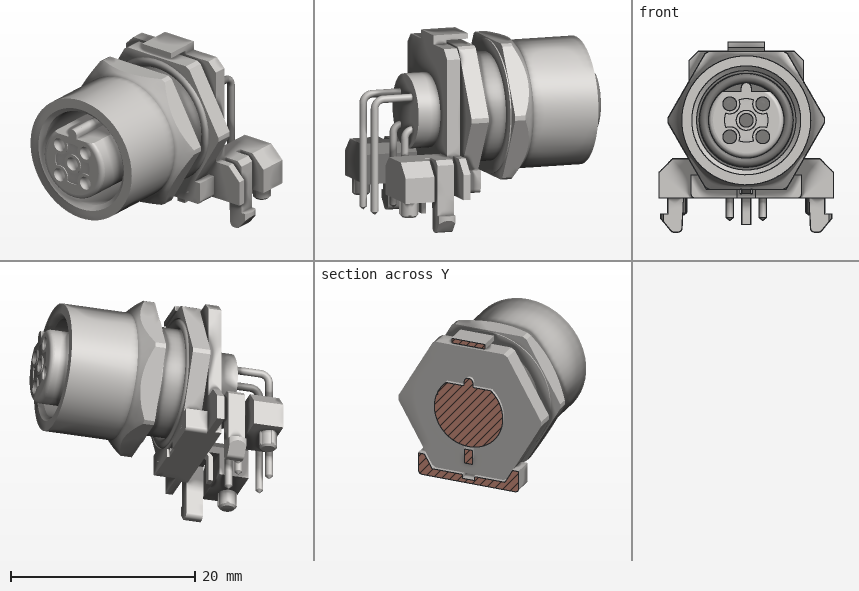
import cadquery as cq
import math


insert_radius = 4.1
insert_rear_y = 21.3
insert_edge_fillet = 0.52
key_flat_z = 3.12
key_half_width = 0.55
key_top_z = insert_radius
contact_offset = 1.8
contact_hole_radius = 0.75
contact_hole_depth = 3.9
face_recess_radius = 2.35
face_recess_depth = 0.1
contact_land_radius = 1.1

shell_front_y = 1.53
shell_rear_y = 9.03
shell_radius = 7.0
bore_radius = 5.4
bore_chamfer = 0.52
bore_floor_y = shell_rear_y
nut_flats = 15.0
nut_corner_radius = 8.51
front_nut_rear_y = 11.73
washer_face_radius = 7.37
washer_face_rear_y = 11.86
neck_radius = 5.97
rear_nut_front_y = 14.8
rear_nut_rear_y = 16.8

inner_ring_radius = 4.57
inner_ring_wire = 0.55
outer_ring_radius = 6.6
outer_ring_wire = 0.55
outer_ring_y = 15.13
ring_groove_radius = 7.2
ring_groove_depth = 0.65

plate_front_y = 17.26
plate_rear_y = 18.77
plate_half_width = 6.23
plate_top_z = 7.53
plate_chamfer = 1.05
tab_half_width = 2.0
tab_top_z = 8.51
tab_thickness = 0.6

base_bottom_z = -8.45
base_top_z = -4.15
bridge_bottom_z = -5.97
wing_outer_x = 9.5
wing_inner_x = 3.25
wing_outer_chamfer = 1.53
wing_inner_chamfer = 1.05
front_wing_rear_y = 18.07
rear_wing_front_y = 21.47
rear_wing_rear_y = 24.8
slot_end_x = 6.2
slot_corner_radius = 0.15

foot_half_width = 6.0
foot_top_z = -5.92
foot_bottom_fillet = 0.47
foot_recess_half_width = 0.99
foot_recess_depth = 0.25
window_half_width = 0.67
window_height = 0.47

latch_front_y = 18.85
latch_rear_y = 20.75
latch_outer_x = 8.51
latch_inner_x = 6.83
latch_top_chamfer = 0.52
latch_bottom_z = -12.18
latch_tip_outer_x = 8.05
latch_tip_inner_x = 6.98
latch_tip_fillet = 0.52
hook_outer_x = 9.3
hook_edge_x = 8.98
hook_top_z = -10.18
hook_bottom_z = -10.67

peg_x = 7.5
peg_y = 23.68
peg_radius = 0.95
peg_rib_radius = 1.06
peg_rib_width = 0.35
peg_rib_count = 4
peg_rib_turn = 13.5
peg_bottom_z = -10.28
peg_chamfer = 0.3

overall_length = 25.95
pin_radius = 0.42
long_pin_bend_radius = 1.0
short_pin_bend_radius = 0.88
pin_tip_z = -10.9
pin_tip_length = 0.36
long_pin_y = overall_length - pin_radius
short_pin_y = 22.05
strip_half_width = 0.5
strip_thickness = 0.52
strip_top_y = 16.61
strip_top_z = -3.37
strip_knee_y = 17.55
strip_knee_z = -6.5
strip_tail_y = 19.35
strip_tail_z = -8.45
strip_bottom_z = -11.35


def box(x0, x1, y0, y1, z0, z1):
    return cq.Workplane("XY").box(x1 - x0, y1 - y0, z1 - z0, centered=False).translate((x0, y0, z0))


def disc(radius, y0, y1, x=0.0, z=0.0):
    """Cylinder along Y between y0 and y1."""
    return cq.Workplane("XZ", origin=(x, y0, z)).circle(radius).extrude(y0 - y1)


def turned(points):
    """Solid of revolution about Y from (radius, y) points."""
    return cq.Workplane("XY").polyline(points).close().revolve(360, (0, 0, 0), (0, 1, 0))


def ring(radius, wire, y):
    """Round-section ring about Y; wire is the radius of the section."""
    return (
        cq.Workplane("XY").center(radius, y).circle(wire).revolve(360, (-radius, 0, 0), (-radius, 1, 0))
    )


def hexagon(y0, y1):
    """Hexagonal prism with flats at top and bottom."""
    across_corners = nut_flats / math.cos(math.pi / 6)
    return cq.Workplane("XZ", origin=(0, y0, 0)).polygon(6, across_corners).extrude(y0 - y1)


def front_profile(points, y0, y1):
    """Extrude an (x, z) outline from y0 to y1."""
    return cq.Workplane("XZ", origin=(0, y0, 0)).polyline(points).close().extrude(y0 - y1)


def mirrored(body):
    """Body joined with its mirror image across x = 0."""
    return body.union(body.mirror("YZ"))


def make_insert():
    """Keyed insert with contact holes and a shallow cross recess in its face."""
    body = disc(insert_radius, 0, plate_rear_y).faces("<Y").edges().fillet(insert_edge_fillet)
    body = body.cut(box(-insert_radius, insert_radius, 0, plate_rear_y, key_flat_z, insert_radius))
    round_z = key_top_z - key_half_width
    key = box(-key_half_width, key_half_width, 0, plate_rear_y, 0, round_z)
    key = key.union(disc(key_half_width, 0, plate_rear_y, z=round_z))
    rear = disc(insert_radius, plate_front_y, insert_rear_y)
    body = body.union(key).union(rear)

    offsets = (-contact_offset, contact_offset)
    contacts = [(0, 0)] + [(x, z) for x in offsets for z in offsets]
    recess = disc(face_recess_radius, 0, face_recess_depth)
    for x, z in contacts:
        recess = recess.cut(disc(contact_land_radius, 0, face_recess_depth, x, z))
    body = body.cut(recess)
    for x, z in contacts:
        body = body.cut(disc(contact_hole_radius, 0, contact_hole_depth, x, z))
    return body


def make_housing():
    """Shell, two hexagonal nuts, neck and both sealing rings."""
    cone_rear_y = shell_rear_y + nut_corner_radius - shell_radius
    nut_envelope = turned([
        (0, shell_rear_y),
        (shell_radius, shell_rear_y),
        (nut_corner_radius, cone_rear_y),
        (nut_corner_radius, front_nut_rear_y),
        (0, front_nut_rear_y),
    ])
    front_nut = hexagon(shell_rear_y, front_nut_rear_y).intersect(nut_envelope)
    rear_nut = hexagon(rear_nut_front_y, rear_nut_rear_y)
    rear_nut = rear_nut.intersect(disc(nut_corner_radius, rear_nut_front_y, rear_nut_rear_y))
    ring_groove = disc(ring_groove_radius, rear_nut_front_y, rear_nut_front_y + ring_groove_depth)
    rear_nut = rear_nut.cut(ring_groove)
    bore = turned([
        (0, shell_front_y),
        (bore_radius + bore_chamfer, shell_front_y),
        (bore_radius, shell_front_y + bore_chamfer),
        (bore_radius, bore_floor_y),
        (0, bore_floor_y),
    ])
    body = disc(shell_radius, shell_front_y, shell_rear_y).union(front_nut)
    body = body.union(disc(washer_face_radius, front_nut_rear_y, washer_face_rear_y))
    body = body.union(disc(neck_radius, front_nut_rear_y, rear_nut_rear_y))
    body = body.union(rear_nut).cut(bore)
    body = body.union(ring(inner_ring_radius, inner_ring_wire, bore_floor_y - inner_ring_wire / 2))
    return body.union(ring(outer_ring_radius, outer_ring_wire, outer_ring_y))


def make_plate():
    """Upright plate with a tab over the rear nut."""
    plate = box(
        -plate_half_width, plate_half_width, plate_front_y, plate_rear_y, base_bottom_z, plate_top_z
    )
    plate = plate.faces(">Z").edges("|Y").chamfer(plate_chamfer)
    stem = box(-tab_half_width, tab_half_width, plate_front_y, plate_rear_y, plate_top_z, tab_top_z)
    tab = box(
        -tab_half_width, tab_half_width, rear_nut_front_y, plate_rear_y, tab_top_z - tab_thickness, tab_top_z
    )
    return plate.union(stem).union(tab)


def make_foot():
    """Cradle shaped to the rear nut."""
    foot = box(
        -foot_half_width, foot_half_width, rear_nut_front_y, plate_front_y, base_bottom_z, foot_top_z
    )
    foot = foot.faces("<Z").edges("|Y").fillet(foot_bottom_fillet)
    foot = foot.cut(hexagon(rear_nut_front_y, plate_front_y))
    recess = box(
        -foot_recess_half_width, foot_recess_half_width,
        rear_nut_front_y, rear_nut_front_y + foot_recess_depth,
        base_bottom_z, foot_top_z,
    )
    return foot.cut(recess)


def make_window():
    """Opening through the foot and the plate, just below the rear nut."""
    top_z = -nut_flats / 2
    return box(
        -window_half_width, window_half_width, rear_nut_front_y, plate_rear_y, top_z - window_height, top_z
    )


def wing_outline():
    """(x, z) outline shared by the front and rear wings."""
    return [
        (wing_inner_x, base_bottom_z),
        (wing_outer_x, base_bottom_z),
        (wing_outer_x, base_top_z - wing_outer_chamfer),
        (wing_outer_x - wing_outer_chamfer, base_top_z),
        (wing_inner_x + wing_inner_chamfer, base_top_z),
        (wing_inner_x, base_top_z - wing_inner_chamfer),
    ]


def make_slot(y0, y1):
    """Gap beside the latch, open outward and rounded at its inner end."""
    slot = box(slot_end_x, wing_outer_x, y0, y1, bridge_bottom_z, base_top_z)
    return slot.faces("<X").edges("|Z").fillet(slot_corner_radius)


def make_latch():
    """Downward arm with a hook rounded in plan."""
    outline = [
        (latch_inner_x, base_top_z),
        (latch_outer_x - latch_top_chamfer, base_top_z),
        (latch_outer_x, base_top_z - latch_top_chamfer),
        (latch_outer_x, hook_top_z),
        (hook_outer_x, hook_top_z),
        (hook_outer_x, hook_bottom_z),
        (latch_tip_outer_x, latch_bottom_z),
        (latch_tip_inner_x, latch_bottom_z),
        (latch_inner_x, base_bottom_z),
    ]
    latch = front_profile(outline, latch_front_y, latch_rear_y)
    latch = latch.faces("<Z").edges("|Y").fillet(latch_tip_fillet)
    rounded_plan = (
        cq.Workplane("XY", origin=(0, 0, latch_bottom_z))
        .moveTo(latch_inner_x, latch_front_y)
        .lineTo(hook_edge_x, latch_front_y)
        .threePointArc((hook_outer_x, (latch_front_y + latch_rear_y) / 2), (hook_edge_x, latch_rear_y))
        .lineTo(latch_inner_x, latch_rear_y)
        .close()
        .extrude(base_top_z - latch_bottom_z)
    )
    return latch.intersect(rounded_plan)


def make_peg():
    """Ribbed peg with a chamfered lower end."""
    height = base_bottom_z - peg_bottom_z
    peg = cq.Workplane("XY").circle(peg_radius).extrude(height)
    rib = cq.Workplane("XY").center(peg_rib_radius / 2, 0).rect(peg_rib_radius, peg_rib_width)
    rib = rib.extrude(height)
    for index in range(peg_rib_count):
        angle = peg_rib_turn + index * 360 / peg_rib_count
        peg = peg.union(rib.rotate((0, 0, 0), (0, 0, 1), angle))
    tip = cq.Workplane("XY").circle(peg_rib_radius).extrude(height).faces("<Z").chamfer(peg_chamfer)
    return peg.intersect(tip).translate((peg_x, peg_y, peg_bottom_z))


def make_base_side():
    """Wings, bridge, latch and peg on the +X side."""
    rear_wing = front_profile(wing_outline(), rear_wing_front_y, rear_wing_rear_y)
    front_wing = front_profile(wing_outline(), plate_front_y, front_wing_rear_y)
    bridge = front_profile(
        [
            (wing_inner_x, bridge_bottom_z),
            (latch_inner_x, bridge_bottom_z),
            (latch_inner_x, base_top_z),
            (wing_inner_x + wing_inner_chamfer, base_top_z),
            (wing_inner_x, base_top_z - wing_inner_chamfer),
        ],
        plate_front_y, rear_wing_front_y,
    )
    side = bridge.cut(make_slot(front_wing_rear_y, latch_front_y))
    side = side.cut(make_slot(latch_rear_y, rear_wing_front_y))
    return side.union(rear_wing).union(front_wing).union(make_latch()).union(make_peg())


def make_pin(x, start_z, rear_y, bend_radius):
    """Round pin leaving the insert rearward, bent down and pointed at its tip."""
    bend_y = rear_y - bend_radius
    bend_z = start_z - bend_radius
    diagonal = bend_radius * math.sqrt(0.5)
    shank_z = pin_tip_z + pin_tip_length
    path = (
        cq.Workplane("YZ", origin=(x, 0, 0))
        .moveTo(plate_rear_y, start_z)
        .lineTo(bend_y, start_z)
        .threePointArc((bend_y + diagonal, bend_z + diagonal), (rear_y, bend_z))
        .lineTo(rear_y, shank_z)
    )
    pin = cq.Workplane("XZ", origin=(x, plate_rear_y, start_z)).circle(pin_radius).sweep(path)
    tip = cq.Solid.makeCone(
        pin_radius, 0, pin_tip_length, pnt=cq.Vector(x, rear_y, shank_z), dir=cq.Vector(0, 0, -1)
    )
    return pin.union(cq.Workplane(tip))


def make_ground_strip():
    """Flat strip leaning rearward under the insert, then turning straight down."""
    bends = [
        (strip_top_y, strip_top_z),
        (strip_knee_y, strip_knee_z),
        (strip_tail_y, strip_tail_z),
        (strip_tail_y, strip_bottom_z),
    ]
    front_edge = [(y - strip_thickness / 2, z) for y, z in bends]
    rear_edge = [(y + strip_thickness / 2, z) for y, z in reversed(bends)]
    outline = cq.Workplane("YZ", origin=(-strip_half_width, 0, 0)).polyline(front_edge + rear_edge).close()
    return outline.extrude(2 * strip_half_width)


connector = make_housing().union(make_insert())
connector = connector.union(make_plate()).union(make_foot()).cut(make_window())
connector = connector.union(mirrored(make_base_side()))
connector = connector.union(make_ground_strip())
for pin_x in (-contact_offset, contact_offset):
    connector = connector.union(make_pin(pin_x, contact_offset, long_pin_y, long_pin_bend_radius))
    connector = connector.union(make_pin(pin_x, -contact_offset, short_pin_y, short_pin_bend_radius))

result = connector